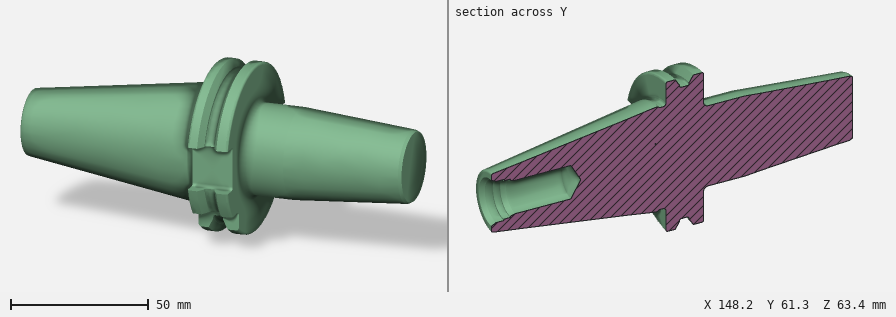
import cadquery as cq

total_length = 148.2

gauge_radius = 22.2
gauge_x = 67.5
taper_slope = 7 / 24 / 2
small_radius = gauge_radius - gauge_x * taper_slope
small_end_rounding = 0.9
rounding_end_radius = small_radius + small_end_rounding * taper_slope
neck_radius = 21.6
land_end_x = 68.3
neck_start_x = 69.0

flange_start_x = 71.6
flange_end_x = 87.2
flange_radius = 31.7
flange_rounding = 0.9
groove_x = 79.2
groove_mouth_half = 3.7
groove_floor_half = 2.0
groove_flank_foot_radius = 28.9
groove_fillet = 0.7
groove_floor_radius = 27.9
flange_root_fillet = 1.2

nose_radius = 17.0
nose_fillet = 1.8
nose_cylinder_end_x = 103.8
nose_end_radius = 13.6
nose_chamfer = 1.2
nose_chamfer_height = 0.6

slot_width = 16.3
slot_corner_radius = 1.2
slot_floor_back = 22.7
slot_floor_front = 24.9
notch_y = -18.5
notch_z = -18.5
notch_corner_radius = 1.2

mouth_radius = 9.6
counterbore_radius = 8.6
counterbore_chamfer_depth = 2.0
counterbore_depth = 5.0
core_radius = 8.0
core_end_x = 7.7
lead_in_radius = 7.5
lead_in_end_x = 9.8
drill_radius = 7.0
drill_end_x = 32.6
drill_tip_length = 4.0


def turned_body():
    """Solid of revolution carrying the taper, flange, groove and nose."""
    profile = (
        cq.Workplane("XY")
        .moveTo(0, 0)
        .lineTo(0, rounding_end_radius - small_end_rounding)
        .radiusArc((small_end_rounding, rounding_end_radius), small_end_rounding)
        .lineTo(gauge_x, gauge_radius)
        .lineTo(land_end_x, gauge_radius)
        .lineTo(neck_start_x, neck_radius)
        .lineTo(flange_start_x - flange_root_fillet, neck_radius)
        .radiusArc((flange_start_x, neck_radius + flange_root_fillet), -flange_root_fillet)
        .lineTo(flange_start_x, flange_radius - flange_rounding)
        .radiusArc((flange_start_x + flange_rounding, flange_radius), flange_rounding)
        .lineTo(groove_x - groove_mouth_half, flange_radius)
        .lineTo(groove_x - groove_floor_half, groove_flank_foot_radius)
        .lineTo(groove_x - groove_floor_half, groove_floor_radius + groove_fillet)
        .radiusArc((groove_x - groove_floor_half + groove_fillet, groove_floor_radius), -groove_fillet)
        .lineTo(groove_x + groove_floor_half - groove_fillet, groove_floor_radius)
        .radiusArc((groove_x + groove_floor_half, groove_floor_radius + groove_fillet), -groove_fillet)
        .lineTo(groove_x + groove_floor_half, groove_flank_foot_radius)
        .lineTo(groove_x + groove_mouth_half, flange_radius)
        .lineTo(flange_end_x - flange_rounding, flange_radius)
        .radiusArc((flange_end_x, flange_radius - flange_rounding), flange_rounding)
        .lineTo(flange_end_x, nose_radius + nose_fillet)
        .radiusArc((flange_end_x + nose_fillet, nose_radius), -nose_fillet)
        .lineTo(nose_cylinder_end_x, nose_radius)
        .lineTo(total_length - nose_chamfer, nose_end_radius)
        .lineTo(total_length, nose_end_radius - nose_chamfer_height)
        .lineTo(total_length, 0)
        .close()
    )
    return profile.revolve(360, (0, 0, 0), (1, 0, 0))


def blind_bore():
    """Chamfered counterbore, short core, tapered lead-in and drilled end with a conical tip."""
    profile = (
        cq.Workplane("XY")
        .moveTo(0, 0)
        .lineTo(0, mouth_radius)
        .lineTo(counterbore_chamfer_depth, counterbore_radius)
        .lineTo(counterbore_depth, counterbore_radius)
        .lineTo(counterbore_depth, core_radius)
        .lineTo(core_end_x, core_radius)
        .lineTo(core_end_x, lead_in_radius)
        .lineTo(lead_in_end_x, drill_radius)
        .lineTo(drill_end_x, drill_radius)
        .lineTo(drill_end_x + drill_tip_length, 0)
        .close()
    )
    return profile.revolve(360, (0, 0, 0), (1, 0, 0))


def flange_cut(y_start, y_end, z_start, z_end):
    """Block spanning the flange thickness between the given Y and Z limits."""
    size = (flange_end_x - flange_start_x, y_end - y_start, z_end - z_start)
    corner = (flange_start_x, y_start, z_start)
    return cq.Workplane("XY").box(*size, centered=False).translate(corner)


def drive_slots():
    """Opposed slots of unequal depth, with rounded floor corners."""
    half = slot_width / 2
    back = flange_cut(slot_floor_back, flange_radius, -half, half)
    back = back.edges("|X and <Y").fillet(slot_corner_radius)
    front = flange_cut(-flange_radius, -slot_floor_front, -half, half)
    front = front.edges("|X and >Y").fillet(slot_corner_radius)
    return back.union(front)


def orientation_notch():
    """Notch with a rounded inner corner on the lower front of the rim."""
    notch = flange_cut(-flange_radius, notch_y, -flange_radius, notch_z)
    return notch.edges("|X and >Y and >Z").fillet(notch_corner_radius)


result = turned_body().cut(blind_bore()).cut(drive_slots()).cut(orientation_notch())